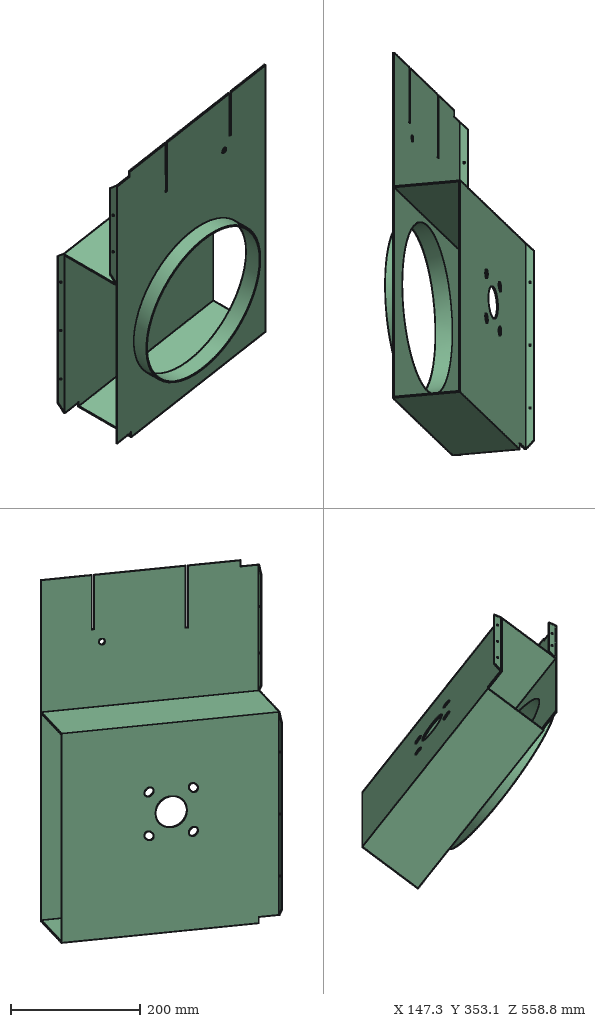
import cadquery as cq

INCH = 25.4

sheet = 0.09 * INCH
flange_thickness = 0.06 * INCH

width = 13.9 * INCH
box_height = 13.5 * INCH
back_height = 22 * INCH
flange_width = 0.6 * INCH
collar_length = 1.0 * INCH
back_outer = 4.8 * INCH

front_inner = flange_width
front_outer = front_inner - sheet
back_inner = back_outer - sheet
back_flange_tip = back_outer - flange_width

notch_height = 0.4 * INCH
bottom_notch_width = 1.32 * INCH
top_notch_width = 1.2 * INCH

screw_hole_diameter = 0.1 * INCH
screw_hole_inset = 0.25 * INCH
front_screw_heights = [3.0 * INCH, 7.0 * INCH, 11.0 * INCH]
back_screw_heights = [16.0 * INCH, 19.0 * INCH]

axis_y = width - 7.0 * INCH
axis_z = 7.75 * INCH
shaft_hole_diameter = 2.0 * INCH
bolt_circle_diameter = 4.0 * INCH
bolt_slot_length = 0.62 * INCH
bolt_slot_width = 0.5 * INCH
bolt_count = 4
first_bolt_angle = 45
full_turn = 360
tangential = 90
collar_diameter = 10.7 * INCH

slot_width = 0.16 * INCH
slots = [(3.3 * INCH, 3.5 * INCH), (9.27 * INCH, 4.0 * INCH)]
wall_hole_diameter = 0.375 * INCH
wall_hole_y = width - 3.87 * INCH
wall_hole_z = back_height - 4.35 * INCH


def block(x0, x1, y0, y1, z0, z1):
    """Box spanning the given coordinate ranges."""
    return cq.Workplane("XY").box(x1 - x0, y1 - y0, z1 - z0, centered=False).translate((x0, y0, z0))


def x_cylinder(diameter, y, z, x0, x1):
    """Cylinder along X, from x0 to x1, centred on (y, z)."""
    return cq.Workplane("YZ", origin=(x0, 0, 0)).center(y, z).circle(diameter / 2).extrude(x1 - x0)


def walls():
    """Front, bottom, top and back walls, with the notched corners of the flanged edge."""
    front = block(front_outer, front_inner, 0, width, 0, box_height)
    bottom = block(front_outer, back_outer, 0, width, 0, sheet)
    top = block(front_outer, back_outer, 0, width, box_height - sheet, box_height)
    back = block(back_inner, back_outer, 0, width, 0, back_height)
    bottom_notch = block(0, back_outer, 0, bottom_notch_width, 0, notch_height)
    top_notch = block(0, back_outer, 0, top_notch_width, back_height - notch_height, back_height)
    return front.union(bottom).union(top).union(back).cut(bottom_notch).cut(top_notch)


def side_flange(tip_x, bend_x, bottom_z, top_z, screw_heights):
    """Flange in the Y = 0 plane with 45 degree ends and a row of screw holes."""
    reach = bend_x - tip_x
    outline = [
        (bend_x, bottom_z),
        (bend_x + sheet, bottom_z),
        (bend_x + sheet, top_z),
        (bend_x, top_z),
        (tip_x, top_z - reach),
        (tip_x, bottom_z + reach),
    ]
    flange = cq.Workplane("XZ").polyline(outline).close().extrude(-flange_thickness)
    holes = (
        cq.Workplane("XZ")
        .pushPoints([(tip_x + screw_hole_inset, height) for height in screw_heights])
        .circle(screw_hole_diameter / 2)
        .extrude(-flange_thickness)
    )
    return flange.cut(holes)


def front_flange():
    return side_flange(0, front_outer, notch_height, box_height, front_screw_heights)


def back_flange():
    top_z = back_height - notch_height
    return side_flange(back_flange_tip, back_inner, box_height, top_z, back_screw_heights)


def motor_holes():
    """Shaft hole and its circle of short tangential bolt slots through the front wall."""
    shaft = x_cylinder(shaft_hole_diameter, axis_y, axis_z, front_outer, front_inner)
    bolts = (
        cq.Workplane("YZ", origin=(front_outer, axis_y, axis_z))
        .polarArray(bolt_circle_diameter / 2, first_bolt_angle, full_turn, bolt_count)
        .slot2D(bolt_slot_length, bolt_slot_width, tangential)
        .extrude(sheet)
    )
    return shaft.union(bolts)


def upper_wall_cuts():
    """Open-topped slots and the round hole in the back wall above the box."""
    cuts = x_cylinder(wall_hole_diameter, wall_hole_y, wall_hole_z, back_inner, back_outer)
    for edge_distance, depth in slots:
        slot_start = width - edge_distance - slot_width / 2
        slot_end = slot_start + slot_width
        cuts = cuts.union(
            block(back_inner, back_outer, slot_start, slot_end, back_height - depth, back_height)
        )
    return cuts


collar_end = back_outer + collar_length
collar = x_cylinder(collar_diameter, axis_y, axis_z, back_outer, collar_end)
outlet = x_cylinder(collar_diameter - 2 * sheet, axis_y, axis_z, back_inner, collar_end)

result = (
    walls()
    .union(front_flange())
    .union(back_flange())
    .union(collar)
    .cut(outlet)
    .cut(motor_holes())
    .cut(upper_wall_cuts())
)